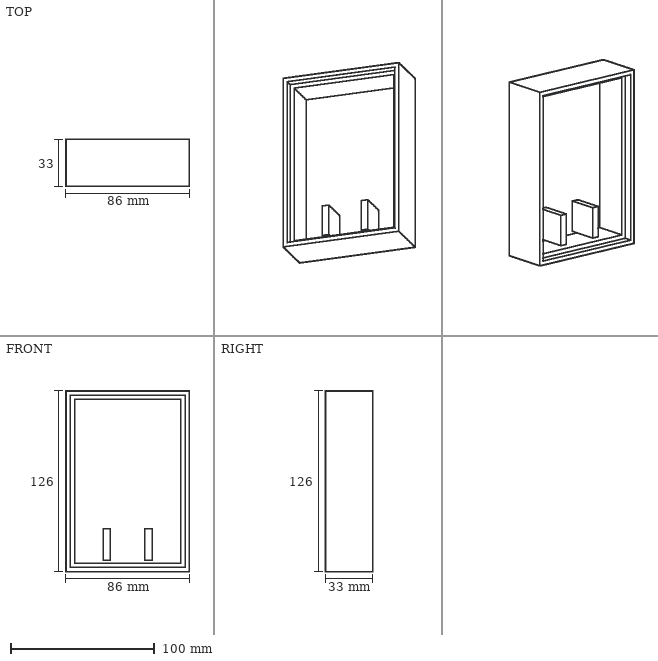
import cadquery as cq

width = 86.0
depth = 33.0
height = 126.0
back_thickness = 3.0

rim_thickness = 3.0
wall_thickness = 6.0
rim_depth = 6.0

rib_thickness = 5.0
rib_height = 22.0
rib_length = 22.0
rib_gap = 24.0
rib_bottom_offset = 8.0

front_y = -depth / 2
back_inner_y = depth / 2 - back_thickness
bottom_z = -height / 2


def block(size_x, y_start, y_end, size_z):
    """Box centred on X and Z that spans y_start to y_end."""
    return cq.Workplane("XY").box(size_x, y_end - y_start, size_z).translate((0, (y_start + y_end) / 2, 0))


def housing():
    body = block(width, front_y, depth / 2, height)
    cavity = block(width - 2 * wall_thickness, front_y, back_inner_y, height - 2 * wall_thickness)
    rim_recess = block(
        width - 2 * rim_thickness,
        front_y,
        front_y + rim_depth,
        height - 2 * rim_thickness,
    )
    return body.cut(cavity).cut(rim_recess)


def rib(side):
    """Rib on the +X side (side = 1) or the -X side (side = -1)."""
    center_x = side * (rib_gap + rib_thickness) / 2
    center_z = bottom_z + rib_bottom_offset + rib_height / 2
    plate = block(rib_thickness, back_inner_y - rib_length, back_inner_y, rib_height)
    return plate.translate((center_x, 0, center_z))


result = housing()
for side in (-1, 1):
    result = result.union(rib(side))